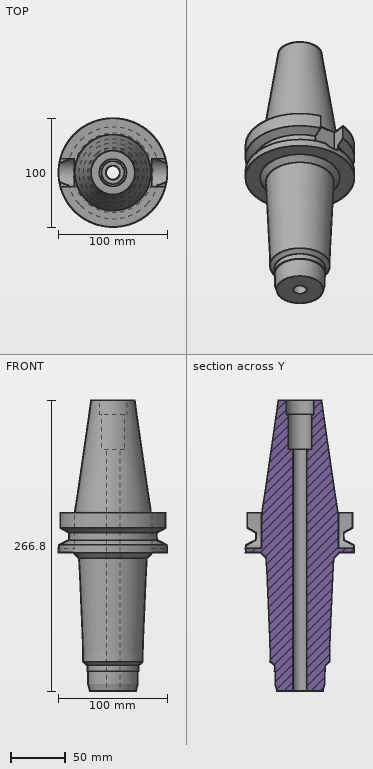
import cadquery as cq
import math


gauge_diameter = 69.85
taper_length = 101.8
taper_ratio = 7 / 24
gauge_radius = gauge_diameter / 2
taper_tip_radius = gauge_radius - taper_ratio * taper_length / 2

flange_radius = 50.0
flange_top_z = -1.5
flange_bottom_z = -38.0
groove_center_z = -23.2
groove_floor_radius = 42.25
groove_floor_width = 6.6
groove_wall_angle = 30.0
groove_wall_height = (flange_radius - groove_floor_radius) * math.tan(math.radians(groove_wall_angle))
groove_floor_top_z = groove_center_z + groove_floor_width / 2
groove_floor_bottom_z = groove_center_z - groove_floor_width / 2
groove_top_z = groove_floor_top_z + groove_wall_height
groove_bottom_z = groove_floor_bottom_z - groove_wall_height

neck_radius = 36.5
body_top_radius = 31.25
body_bottom_radius = 27.5
body_top_z = flange_bottom_z - (neck_radius - body_top_radius)
body_bottom_z = -130.0
collar_bottom_z = -138.0

shoulder_radius = 23.5
shoulder_top_z = -141.5
shoulder_bottom_z = -147.0
nose_radius = 23.0
nose_taper_z = -158.5
nose_taper_angle = 15.0
nose_bottom_z = -165.0
overall_length = taper_length - nose_bottom_z
nose_tip_radius = nose_radius - (nose_taper_z - nose_bottom_z) * math.tan(math.radians(nose_taper_angle))

slot_width = 25.7
slot_floor_x = 35.4
slot_bottom_z = -33.85
slot_round_center_z = slot_bottom_z + slot_width / 2

pilot_radius = 12.5
pilot_depth = 13.0
thread_bore_radius = 10.5
thread_bore_depth = 45.0
through_bore_radius = 6.25


def turned_body():
    """Revolve the half section of the holder about Z."""
    section = [
        (0, taper_length),
        (taper_tip_radius, taper_length),
        (gauge_radius, 0),
        (gauge_radius, flange_top_z),
        (flange_radius, flange_top_z),
        (flange_radius, groove_top_z),
        (groove_floor_radius, groove_floor_top_z),
        (groove_floor_radius, groove_floor_bottom_z),
        (flange_radius, groove_bottom_z),
        (flange_radius, flange_bottom_z),
        (neck_radius, flange_bottom_z),
        (body_top_radius, body_top_z),
        (body_bottom_radius, body_bottom_z),
        (body_bottom_radius, collar_bottom_z),
        (shoulder_radius, shoulder_top_z),
        (shoulder_radius, shoulder_bottom_z),
        (nose_radius, shoulder_bottom_z),
        (nose_radius, nose_taper_z),
        (nose_tip_radius, nose_bottom_z),
        (0, nose_bottom_z),
    ]
    return cq.Workplane("YZ").polyline(section).close().revolve(360, (0, 0, 0), (0, 1, 0))


def drive_slot(side):
    """Round-ended slot cutter, open upward and outward; side is +1 or -1 along X."""
    half_width = slot_width / 2
    return (
        cq.Workplane("YZ", origin=(side * slot_floor_x, 0, 0))
        .moveTo(-half_width, 0)
        .lineTo(-half_width, slot_round_center_z)
        .threePointArc((0, slot_bottom_z), (half_width, slot_round_center_z))
        .lineTo(half_width, 0)
        .close()
        .extrude(side * flange_radius)
    )


def axial_bore(radius, depth):
    """Cylindrical cutter running down from the small end of the taper."""
    return cq.Workplane("XY", origin=(0, 0, taper_length)).circle(radius).extrude(-depth)


result = turned_body()

for side in (-1, 1):
    result = result.cut(drive_slot(side))

result = result.cut(axial_bore(pilot_radius, pilot_depth))
result = result.cut(axial_bore(thread_bore_radius, thread_bore_depth))
result = result.cut(axial_bore(through_bore_radius, overall_length))